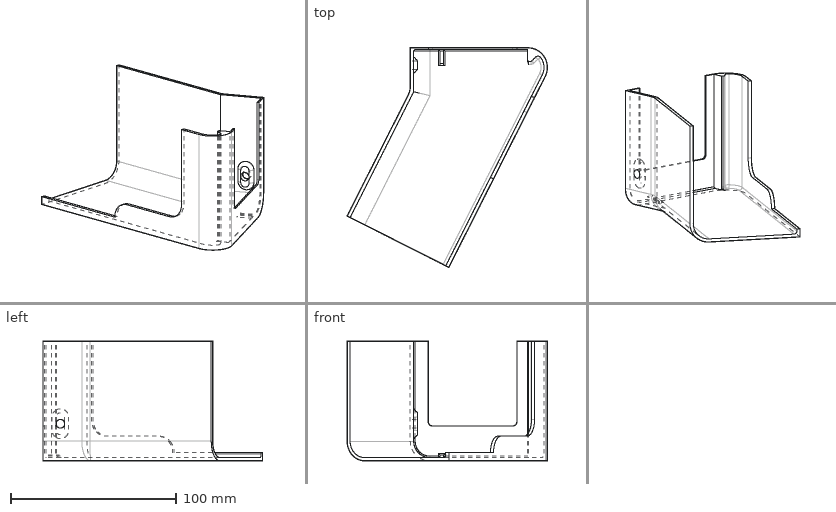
import cadquery as cq
import math

height = 72.5
wall = 2.1
floor_thickness = 2.0
back_wall = 1.0
skew = math.radians(26.8)
straight_side = 26.2
long_side = 84.8
overall_width = 121.3
post_radius = 12.0
edge_radius = 12.0
turn_radius = 11.0
back_chamfer = 0.9
floor_fillet = 1.8
overshoot = 10.0

along_x, along_y = math.sin(skew), math.cos(skew)
out_x, out_y = math.cos(skew), -math.sin(skew)

hook_left = 71.0
hook_front = -8.3
hook_bevel = 0.6
hook_tip_radius = 0.8
groove_radius = 2.0
groove_angle = math.radians(38)
flank_angle = math.radians(135)

window_left = 11.0
window_right = 64.5
window_bottom = 21.2
window_radius = 2.5

lip_height = 5.0
shelf_height = 15.0
step_radius = 10.0
low_step = 60.0
high_step = 105.0

boss_y = -10.6
boss_z = 22.5
boss_straight = 8.0
boss_radius = 5.0
hole_diameter = 5.2

rib_centre = 19.05
rib_width = 2.1
rib_top = 3.6
rib_end = -10.95
rib_slope = 1.25
rib_bevel = 1.0

left_end = (-long_side * along_x, -straight_side - long_side * along_y)
post_x = left_end[0] + overall_width - post_radius
post_y = -post_radius
channel_width = (post_x - left_end[0]) * out_x + (post_y - left_end[1]) * out_y + post_radius
right_end = (left_end[0] + channel_width * out_x, left_end[1] + channel_width * out_y)
inner_radius = post_radius - wall
post_tangent = (post_x + inner_radius * out_x, post_y + inner_radius * out_y)
inner_turn = (wall, -straight_side - wall * (1 - out_x) / along_x)


def on_circle(centre_x, centre_y, radius, angle):
    return (centre_x + radius * math.cos(angle), centre_y + radius * math.sin(angle))


def along_wall(start, distance):
    return (start[0] + distance * along_x, start[1] + distance * along_y)


def nearest_edge(body, point):
    return body.edges(cq.selectors.NearestToPointSelector(point))


def make_outer_body():
    """Solid block with the outside shape of the channel."""
    body = (
        cq.Workplane("XY")
        .moveTo(0, 0)
        .lineTo(post_x, 0)
        .threePointArc(
            on_circle(post_x, post_y, post_radius, math.pi / 4),
            on_circle(post_x, post_y, post_radius, -skew),
        )
        .lineTo(*right_end)
        .lineTo(*left_end)
        .lineTo(0, -straight_side)
        .close()
        .extrude(height)
    )
    left_x, left_y = along_wall((0, -straight_side), -long_side / 2)
    lower_edges = [
        nearest_edge(body, (0, -straight_side / 2, 0)).val(),
        nearest_edge(body, (left_x, left_y, 0)).val(),
    ]
    body = body.newObject(lower_edges).fillet(edge_radius)
    return nearest_edge(body, (0, -straight_side, height / 2)).fillet(turn_radius)


def make_cavity_block():
    """Sharp-edged inside space: hook, groove and post round at the back right, open skewed end."""
    groove_x, groove_y = on_circle(post_x, post_y, inner_radius - groove_radius, groove_angle)
    flank_top = on_circle(groove_x, groove_y, groove_radius, flank_angle)
    flank_bottom = (flank_top[0] - (flank_top[1] - hook_front), hook_front)
    block = (
        cq.Workplane("XY", origin=(0, 0, floor_thickness))
        .moveTo(wall, -back_wall)
        .lineTo(hook_left, -back_wall)
        .lineTo(hook_left, hook_front)
        .lineTo(*flank_bottom)
        .lineTo(*flank_top)
        .threePointArc(
            on_circle(groove_x, groove_y, groove_radius, (flank_angle + groove_angle) / 2),
            on_circle(groove_x, groove_y, groove_radius, groove_angle),
        )
        .threePointArc(
            on_circle(post_x, post_y, inner_radius, (groove_angle - skew) / 2),
            post_tangent,
        )
        .lineTo(*along_wall(post_tangent, -2 * long_side))
        .lineTo(*along_wall(inner_turn, -2 * long_side))
        .lineTo(*inner_turn)
        .close()
        .extrude(height)
    )
    return nearest_edge(block, (*flank_bottom, height / 2)).fillet(hook_tip_radius)


def make_cavity():
    """Inside space with its floor edges rounded and its back edges bevelled."""
    cavity = make_cavity_block()
    left_x, left_y = along_wall(inner_turn, -long_side)
    left_edges = [
        nearest_edge(cavity, (wall, inner_turn[1] / 2, floor_thickness)).val(),
        nearest_edge(cavity, (left_x, left_y, floor_thickness)).val(),
    ]
    cavity = cavity.newObject(left_edges).fillet(edge_radius - wall)

    right_x, right_y = along_wall(post_tangent, -long_side)
    cavity = nearest_edge(cavity, (right_x, right_y, floor_thickness)).fillet(floor_fillet)

    cavity = nearest_edge(cavity, (hook_left, hook_front, height / 2)).chamfer(hook_bevel)

    back_edges = [
        edge
        for edge in cavity.faces(">Y").edges().vals()
        if edge.BoundingBox().zmin < height and edge.BoundingBox().xmin < hook_left - back_chamfer
    ]
    return cavity.newObject(back_edges).chamfer(back_chamfer)


def make_window():
    """Rounded opening through the back wall, open at the top."""
    return (
        cq.Workplane("XY")
        .box(window_right - window_left, 4 * back_wall, height, centered=(True, True, False))
        .edges("|Y and <Z")
        .fillet(window_radius)
        .translate(((window_left + window_right) / 2, 0, window_bottom))
    )


def make_right_wall_cut():
    """Removes the top of the right wall in two rounded steps rising toward the back."""
    corner = step_radius * math.sin(math.pi / 4)
    inset = step_radius - corner
    wall_plane = cq.Plane(
        origin=(right_end[0], right_end[1], 0),
        xDir=(along_x, along_y, 0),
        normal=(out_x, out_y, 0),
    )
    return (
        cq.Workplane(wall_plane)
        .moveTo(-overshoot, lip_height)
        .lineTo(low_step, lip_height)
        .threePointArc(
            (low_step + inset, shelf_height - inset),
            (low_step + step_radius, shelf_height),
        )
        .lineTo(high_step, shelf_height)
        .threePointArc(
            (high_step + corner, shelf_height + inset),
            (high_step + step_radius, shelf_height + step_radius),
        )
        .lineTo(high_step + step_radius, height + overshoot)
        .lineTo(-overshoot, height + overshoot)
        .close()
        .extrude(2 * wall, both=True)
    )


def make_boss():
    """Upright oblong boss inside the left wall, tapering at 45 degrees to the hole width."""
    boss_height = boss_radius - hole_diameter / 2
    return (
        cq.Workplane("YZ", origin=(wall, boss_y, boss_z))
        .slot2D(boss_straight + 2 * boss_radius, 2 * boss_radius, 90)
        .extrude(boss_height, taper=45)
    )


def make_boss_hole():
    """Cylinder through the left wall and its boss."""
    return (
        cq.Workplane("YZ", origin=(-overshoot, boss_y, boss_z))
        .circle(hole_diameter / 2)
        .extrude(2 * overshoot)
    )


def make_rib_foot(side):
    """Bevel between the floor and one side of the rib; side is -1 for left and 1 for right."""
    return (
        cq.Workplane("XZ", origin=(rib_centre + side * rib_width / 2, -back_wall, floor_thickness))
        .moveTo(0, 0)
        .lineTo(side * rib_bevel, 0)
        .lineTo(0, rib_bevel)
        .close()
        .extrude(-rib_end - back_wall)
    )


def make_rib():
    """Locating rib running forward from the back wall, bevelled where it meets floor and wall."""
    bar = (
        cq.Workplane("YZ", origin=(rib_centre - rib_width / 2, 0, 0))
        .moveTo(-back_wall, floor_thickness)
        .lineTo(rib_end, floor_thickness)
        .lineTo(rib_end + rib_slope, rib_top)
        .lineTo(-back_wall, rib_top)
        .close()
        .extrude(rib_width)
    )
    collar_bottom = floor_thickness / 2 - rib_bevel
    collar_top = rib_top + rib_bevel
    collar = (
        cq.Workplane("XZ", origin=(rib_centre, -back_wall, (collar_bottom + collar_top) / 2))
        .rect(rib_width + 2 * rib_bevel, collar_top - collar_bottom)
        .extrude(rib_bevel, taper=45)
    )
    return bar.union(collar).union(make_rib_foot(-1)).union(make_rib_foot(1))


result = (
    make_outer_body()
    .cut(make_cavity())
    .cut(make_window())
    .cut(make_right_wall_cut())
    .union(make_boss())
    .cut(make_boss_hole())
    .union(make_rib())
)